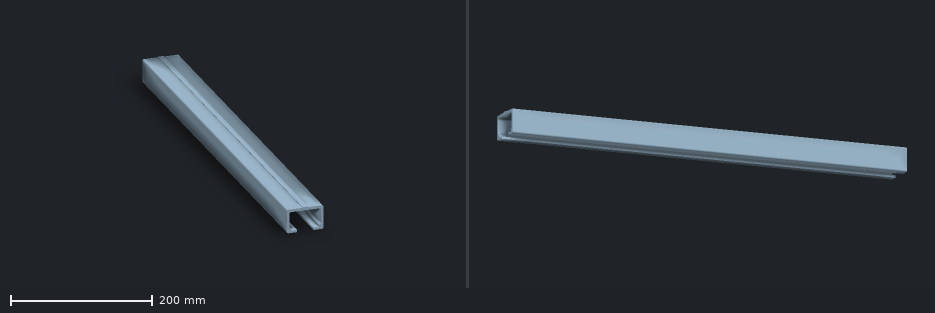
import cadquery as cq

LENGTH = 609.6
WIDTH = 55.0
HEIGHT = 37.0
SIDE_WALL = 3.5
TOP_WALL = 4.2
TOP_OUTER_RADIUS = 2.5
TOP_INNER_RADIUS = 2.5
BOTTOM_OUTER_RADIUS = 2.5

RIB_WIDTH = 8.0
RIB_HEIGHT = 1.0

SLOT_WIDTH = 25.0
LIP_THICKNESS = 3.5

SHOULDER_WIDTH = 2.75
SHOULDER_HEIGHT = 5.5

bottom_z = -HEIGHT / 2
rib_top_z = HEIGHT / 2
body_top_z = rib_top_z - RIB_HEIGHT
ceiling_z = body_top_z - TOP_WALL
lip_top_z = bottom_z + LIP_THICKNESS
shoulder_top_z = lip_top_z + SHOULDER_HEIGHT
outer_y = WIDTH / 2
inner_y = outer_y - SIDE_WALL
shoulder_y = inner_y - SHOULDER_WIDTH
lip_y = SLOT_WIDTH / 2


def rail_body():
    """Solid bar with rounded long outer edges."""
    bar = cq.Workplane("XY").box(LENGTH, WIDTH, body_top_z - bottom_z)
    bar = bar.translate((0, 0, (body_top_z + bottom_z) / 2))
    bar = bar.edges("|X and >Z").fillet(TOP_OUTER_RADIUS)
    return bar.edges("|X and <Z").fillet(BOTTOM_OUTER_RADIUS)


def channel_cavity():
    """Inside of the channel and its slot, with rounded upper corners."""
    half = [
        (0, bottom_z),
        (lip_y, bottom_z),
        (lip_y, lip_top_z),
        (shoulder_y, lip_top_z),
        (shoulder_y, shoulder_top_z - SHOULDER_WIDTH),
        (inner_y, shoulder_top_z),
        (inner_y, ceiling_z),
        (0, ceiling_z),
    ]
    profile = cq.Workplane("YZ").polyline(half).mirrorY()
    cavity = profile.extrude(LENGTH / 2, both=True)
    return cavity.edges("|X and >Z").fillet(TOP_INNER_RADIUS)


def top_rib():
    """Rectangular rib running the full length of the top face."""
    rib = cq.Workplane("XY").box(LENGTH, RIB_WIDTH, RIB_HEIGHT)
    return rib.translate((0, 0, rib_top_z - RIB_HEIGHT / 2))


result = rail_body().cut(channel_cavity()).union(top_rib())